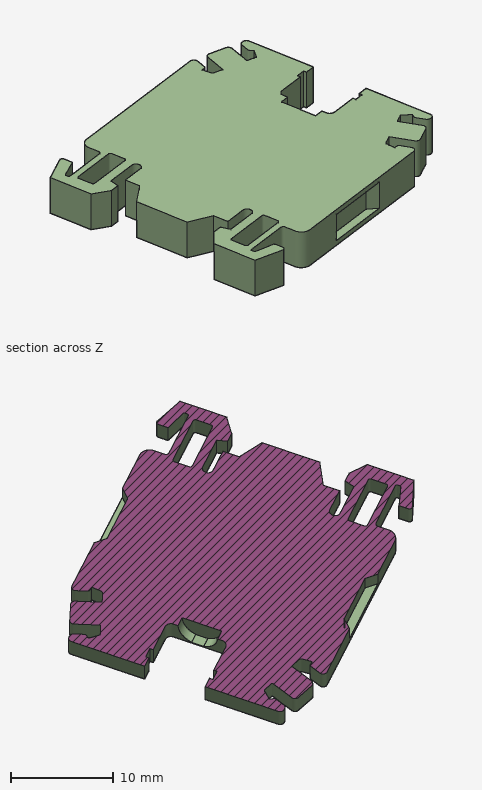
import cadquery as cq
import math

width = 27.09
height = 31.0
thickness = 4.2
half_width = width / 2

slot_half_width = 3.19
slot_floor_y = 25.2
slot_corner_radius = 0.6
groove_depth = 0.35
groove_top_y = 29.85
groove_bottom_y = 28.83

seat_radius = 2.07
seat_depth = 1.04
seat_floor_half_width = 0.64

tab_tilt = math.radians(20)
tab_root_x = -9.59
tab_root_y = 26.73
tab_reach = 3.06
tab_half_width = 1.42
upper_gap = 1.13
lower_gap = 1.21
detent_reach = 1.08
upper_detent_depth = 0.44
upper_lip_start = 1.43
lower_detent_depth = 0.5
lower_lip_start = 1.25
lip_end_x = -11.43
latch_radius = 0.45
lip_inner_radius = 0.25
upper_root_radius = 0.1
detent_radius = 0.3

shoulder_y = 6.5
shoulder_radius = 1.06
wedge_shoulder_y = 3.97
wedge_top_half_width = 4.47
wedge_bottom_half_width = 3.07
wedge_bottom_y = 1.53

leg_outer_x = -11.0
leg_inner_x = -7.26
leg_top_radius = 0.3
relief_inner_x = -6.21
relief_top_y = 6.97
relief_radius = 0.5
claw_top_y = 2.73
claw_root_y = 3.02
claw_bottom_y = 1.68
foot_inner_x = -7.45
foot_outer_x = -12.41
hook_top_y = 3.46
hook_tip_radius = 0.32
hook_side_y = 3.13
hook_inner_x = -12.23
hook_valley_x = -11.5
hook_valley_y = 1.2
valley_radius = 0.15

window_outer_x = -10.28
window_inner_x = -8.29
window_bottom_y = 1.53
window_radius = 0.2

pocket_mouth_top_y = 19.04
pocket_floor_top_y = 18.09
pocket_floor_bottom_y = 12.87
pocket_mouth_bottom_y = 11.92
pocket_depth = 0.95
pocket_margin = 0.57


def tab_point(outward, across):
    """Profile point measured along the tilted tab and across it, from the middle of its root."""
    x = tab_root_x - outward * math.cos(tab_tilt) + across * math.sin(tab_tilt)
    y = tab_root_y + outward * math.sin(tab_tilt) + across * math.cos(tab_tilt)
    return x, y


def tilted_edge_y(x, across):
    """Y at the given X on the line parallel to the tab at the given distance across it."""
    return tab_root_y + (across - (x - tab_root_x) * math.sin(tab_tilt)) / math.cos(tab_tilt)


def toward(start, end, distance):
    """Point at a distance from start on the way to end."""
    ratio = distance / math.dist(start, end)
    return start[0] + (end[0] - start[0]) * ratio, start[1] + (end[1] - start[1]) * ratio


def rounded_outline(corners):
    """Closed outline through (point, radius) corners; each nonzero radius becomes a tangent arc."""
    pieces = []
    for index, (corner, radius) in enumerate(corners):
        if radius == 0:
            pieces.append((corner,))
            continue
        before = corners[index - 1][0]
        after = corners[(index + 1) % len(corners)][0]
        turn_in = math.atan2(before[1] - corner[1], before[0] - corner[0])
        turn_out = math.atan2(after[1] - corner[1], after[0] - corner[0])
        half_angle = math.acos(math.cos(turn_in - turn_out)) / 2
        tangent_length = radius / math.tan(half_angle)
        start = toward(corner, before, tangent_length)
        end = toward(corner, after, tangent_length)
        chord_middle = ((start[0] + end[0]) / 2, (start[1] + end[1]) / 2)
        middle = toward(corner, chord_middle, radius / math.sin(half_angle) - radius)
        pieces.append((start, middle, end))

    outline = cq.Workplane("XY").moveTo(*pieces[0][-1])
    for piece in pieces[1:] + pieces[:1]:
        outline = outline.lineTo(*piece[0])
        if len(piece) > 1:
            outline = outline.threePointArc(*piece[1:])
    return outline.close()


def slot_corners():
    """Half of the head slot, from the middle of its floor up to the top edge."""
    groove_x = -slot_half_width - groove_depth
    return [
        ((0, slot_floor_y), 0),
        ((-slot_half_width, slot_floor_y), slot_corner_radius),
        ((-slot_half_width, groove_bottom_y), 0),
        ((groove_x, groove_bottom_y), 0),
        ((groove_x, groove_top_y), 0),
        ((-slot_half_width, groove_top_y), 0),
        ((-slot_half_width, height), 0),
    ]


def latch_corners():
    """Lip, upper gap, tab, lower gap and the top of the side face."""
    lip_edge = tab_half_width + upper_gap
    shoulder_edge = -tab_half_width - lower_gap
    return [
        ((lip_end_x, height), latch_radius),
        ((lip_end_x, tilted_edge_y(lip_end_x, lip_edge)), latch_radius),
        (tab_point(upper_lip_start, lip_edge), lip_inner_radius),
        (tab_point(detent_reach, lip_edge + upper_detent_depth), 0),
        (tab_point(0, lip_edge), 0),
        (tab_point(0, tab_half_width), upper_root_radius),
        (tab_point(tab_reach, tab_half_width), latch_radius),
        (tab_point(tab_reach, -tab_half_width), latch_radius),
        (tab_point(0, -tab_half_width), 0),
        (tab_point(0, shoulder_edge), detent_radius),
        (tab_point(detent_reach, shoulder_edge - lower_detent_depth), 0),
        (tab_point(lower_lip_start, shoulder_edge), lip_inner_radius),
        ((-half_width, tilted_edge_y(-half_width, shoulder_edge)), latch_radius),
    ]


def foot_corners():
    """Lower corner of the body, hook, sole, claw and the relief slot behind the leg."""
    return [
        ((-half_width, shoulder_y), shoulder_radius),
        ((leg_outer_x, shoulder_y), leg_top_radius),
        ((leg_outer_x, hook_valley_y), valley_radius),
        ((hook_valley_x, hook_valley_y), valley_radius),
        ((hook_inner_x, hook_top_y), 0),
        ((-half_width, hook_top_y), hook_tip_radius),
        ((-half_width, hook_side_y), 0),
        ((foot_outer_x, 0), 0),
        ((foot_inner_x, 0), 0),
        ((relief_inner_x, claw_bottom_y), 0),
        ((relief_inner_x, claw_top_y), 0),
        ((leg_inner_x, claw_root_y), 0),
        ((leg_inner_x, relief_top_y), relief_radius),
        ((relief_inner_x, relief_top_y), relief_radius),
    ]


def wedge_corners():
    """Half of the wedge between the feet."""
    return [
        ((relief_inner_x, wedge_shoulder_y), 0),
        ((-wedge_top_half_width, wedge_shoulder_y), 0),
        ((-wedge_bottom_half_width, wedge_bottom_y), 0),
        ((0, wedge_bottom_y), 0),
    ]


def leg_window():
    corners = [
        ((window_outer_x, window_bottom_y), window_radius),
        ((window_inner_x, window_bottom_y), window_radius),
        ((window_inner_x, relief_top_y), window_radius),
        ((window_outer_x, relief_top_y), window_radius),
    ]
    return rounded_outline(corners).extrude(thickness)


def side_pocket():
    pocket_floor_x = -half_width + pocket_depth
    return (
        cq.Workplane("XY", origin=(0, 0, pocket_margin))
        .moveTo(-half_width, pocket_mouth_bottom_y)
        .lineTo(pocket_floor_x, pocket_floor_bottom_y)
        .lineTo(pocket_floor_x, pocket_floor_top_y)
        .lineTo(-half_width, pocket_mouth_top_y)
        .close()
        .extrude(thickness - 2 * pocket_margin)
    )


def screw_seat():
    """U-shaped recess along Y: upright sides, a round bottom and a narrow flat floor."""
    center_z = thickness / 2
    floor_z = center_z - math.sqrt(seat_radius**2 - seat_floor_half_width**2)
    diagonal = seat_radius / math.sqrt(2)
    return (
        cq.Workplane("XZ", origin=(0, slot_floor_y, 0))
        .moveTo(-seat_radius, thickness)
        .lineTo(-seat_radius, center_z)
        .threePointArc((-diagonal, center_z - diagonal), (-seat_floor_half_width, floor_z))
        .lineTo(seat_floor_half_width, floor_z)
        .threePointArc((diagonal, center_z - diagonal), (seat_radius, center_z))
        .lineTo(seat_radius, thickness)
        .close()
        .extrude(seat_depth)
    )


half_profile = slot_corners() + latch_corners() + foot_corners() + wedge_corners()
half_body = rounded_outline(half_profile).extrude(thickness).cut(leg_window()).cut(side_pocket())
body = half_body.union(half_body.mirror("YZ"))
result = body.cut(screw_seat())